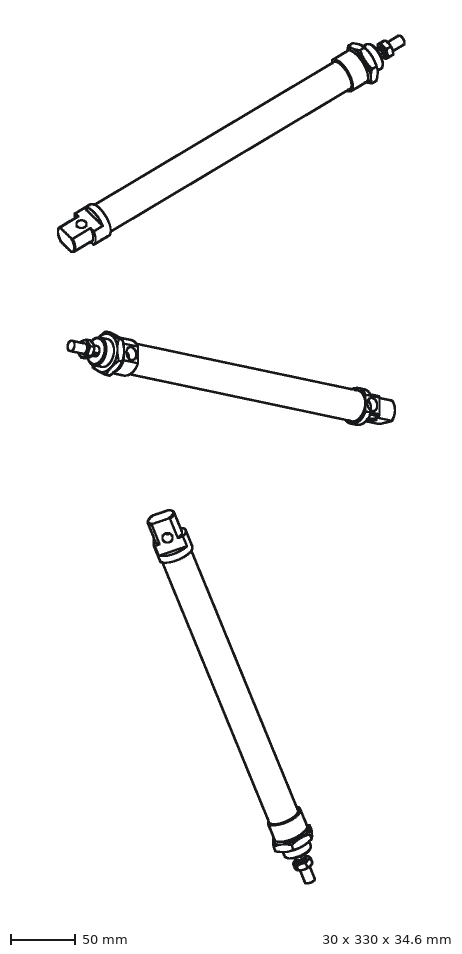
import cadquery as cq
import math

LENGTH = 330.0

ROD_DIAMETER = 8.2
ROD_UNDERCUT_DIAMETER = 6.0
ROD_THREAD_LENGTH = 18.5
ROD_SHOULDER_FROM_TIP = 20.5
ROD_FLAT_LENGTH = 4.0
ROD_ACROSS_FLATS = 6.5
ROD_FLAT_TILT = -17.0

ROD_NUT_ACROSS_FLATS = 13.0
ROD_NUT_THICKNESS = 5.3
ROD_NUT_TILT = -5.0
MOUNT_NUT_ACROSS_FLATS = 30.0
MOUNT_NUT_THICKNESS = 7.0
MOUNT_NUT_TILT = 30.0
NUT_CHAMFER_ANGLE = 30.0
NUT_SIDES = 6

NOSE_DIAMETER = 22.0
NOSE_CHAMFER = 1.0
NOSE_FROM_TIP = 26.0
NOSE_LENGTH = 17.8
MOUNT_NUT_FROM_NOSE = 9.0
COLLAR_DIAMETER = 28.5
COLLAR_LENGTH = 15.0

BARREL_DIAMETER = 24.5

CLEVIS_LENGTH = 18.0
CLEVIS_DIAMETER = 22.0
CLEVIS_THICKNESS = 16.2
CLEVIS_CHAMFER = 0.5
CLEVIS_FLAT_LENGTH = 27.0
PIVOT_HOLE_DIAMETER = 8.0
PIVOT_HOLE_Y = 15.2

PORT_FACE_OFFSET = 12.5
PORT_DIAMETER = 10.2
FRONT_PORT_FROM_TIP = 51.8
REAR_PORT_Y = 25.7
REAR_PORT_DEPTH = 7.3

nose_front = LENGTH - NOSE_FROM_TIP
front_collar_front = nose_front - NOSE_LENGTH
front_collar_rear = front_collar_front - COLLAR_LENGTH
rear_collar_front = CLEVIS_LENGTH + COLLAR_LENGTH
thread_rear = LENGTH - ROD_THREAD_LENGTH
rod_shoulder = LENGTH - ROD_SHOULDER_FROM_TIP
mount_nut_rear = nose_front - MOUNT_NUT_FROM_NOSE - MOUNT_NUT_THICKNESS
rod_rear = front_collar_rear
front_port_y = LENGTH - FRONT_PORT_FROM_TIP


def cylinder(diameter, y_rear, y_front):
    """Round bar on the cylinder axis."""
    plane = cq.Workplane("XZ", origin=(0, y_front, 0))
    return plane.circle(diameter / 2).extrude(y_front - y_rear)


def hex_nut(across_flats, thickness, bore, y_rear, tilt):
    """Hexagon nut with both rims turned to a cone that starts at the flats."""
    corner_diameter = across_flats / math.cos(math.pi / NUT_SIDES)
    flat_radius = across_flats / 2
    corner_radius = corner_diameter / 2
    rim = (corner_radius - flat_radius) * math.tan(math.radians(NUT_CHAMFER_ANGLE))
    y_front = y_rear + thickness
    envelope = (
        cq.Workplane("XY")
        .moveTo(0, y_rear)
        .lineTo(flat_radius, y_rear)
        .lineTo(corner_radius, y_rear + rim)
        .lineTo(corner_radius, y_front - rim)
        .lineTo(flat_radius, y_front)
        .lineTo(0, y_front)
        .close()
        .revolve(360, (0, 0, 0), (0, 1, 0))
    )
    hexagon = (
        cq.Workplane("XZ", origin=(0, y_front, 0))
        .transformed(rotate=(0, 0, tilt))
        .polygon(NUT_SIDES, corner_diameter)
        .extrude(thickness)
    )
    return hexagon.intersect(envelope).cut(cylinder(bore, y_rear, y_front))


def port_face(y_rear):
    """Material outside the flat port face of one collar."""
    plane = cq.Workplane("YZ", origin=(-PORT_FACE_OFFSET, y_rear + COLLAR_LENGTH / 2, 0))
    return plane.rect(COLLAR_LENGTH, COLLAR_DIAMETER).extrude(-COLLAR_DIAMETER)


def port_hole(y_center, depth):
    """Round port sunk from a flat port face."""
    plane = cq.Workplane("YZ", origin=(-PORT_FACE_OFFSET, y_center, 0))
    return plane.circle(PORT_DIAMETER / 2).extrude(depth)


def make_housing():
    """Barrel with the front cap and the clevis cap."""
    nose = cylinder(NOSE_DIAMETER, front_collar_front, nose_front).faces(">Y").chamfer(NOSE_CHAMFER)
    clevis = cylinder(CLEVIS_DIAMETER, 0, CLEVIS_LENGTH).faces("<Y").chamfer(CLEVIS_CHAMFER)
    housing = (
        cylinder(BARREL_DIAMETER, rear_collar_front, front_collar_rear)
        .union(nose)
        .union(cylinder(COLLAR_DIAMETER, front_collar_rear, front_collar_front))
        .union(cylinder(COLLAR_DIAMETER, CLEVIS_LENGTH, rear_collar_front))
        .union(clevis)
    )

    for side in (-1, 1):
        waste = cq.Workplane("XY").box(
            COLLAR_DIAMETER, CLEVIS_FLAT_LENGTH, COLLAR_DIAMETER, centered=(True, False, True)
        )
        waste_height = side * (CLEVIS_THICKNESS + COLLAR_DIAMETER) / 2
        housing = housing.cut(waste.translate((0, 0, waste_height)))

    pivot = cq.Workplane("XY").center(0, PIVOT_HOLE_Y).circle(PIVOT_HOLE_DIAMETER / 2)
    housing = housing.cut(pivot.extrude(CLEVIS_THICKNESS / 2, both=True))

    for y_rear in (front_collar_rear, CLEVIS_LENGTH):
        housing = housing.cut(port_face(y_rear))

    housing = housing.cut(port_hole(front_port_y, PORT_FACE_OFFSET))
    housing = housing.cut(port_hole(REAR_PORT_Y, REAR_PORT_DEPTH))

    return housing.cut(cylinder(ROD_DIAMETER, rod_rear, nose_front))


def make_rod():
    """Piston rod with an undercut behind the thread and a pair of wrench flats."""
    rod = (
        cylinder(ROD_DIAMETER, rod_rear, rod_shoulder)
        .union(cylinder(ROD_UNDERCUT_DIAMETER, rod_shoulder, thread_rear))
        .union(cylinder(ROD_DIAMETER, thread_rear, LENGTH))
    )
    flat_section = cylinder(ROD_DIAMETER, rod_shoulder - ROD_FLAT_LENGTH, rod_shoulder)
    between_flats = (
        cq.Workplane("XZ", origin=(0, rod_shoulder, 0))
        .transformed(rotate=(0, 0, ROD_FLAT_TILT))
        .rect(ROD_DIAMETER, ROD_ACROSS_FLATS)
        .extrude(ROD_FLAT_LENGTH)
    )
    return rod.cut(flat_section.cut(between_flats))


housing = make_housing()
rod = make_rod()
rod_nut = hex_nut(ROD_NUT_ACROSS_FLATS, ROD_NUT_THICKNESS, ROD_DIAMETER, thread_rear, ROD_NUT_TILT)
mount_nut = hex_nut(
    MOUNT_NUT_ACROSS_FLATS, MOUNT_NUT_THICKNESS, NOSE_DIAMETER, mount_nut_rear, MOUNT_NUT_TILT
)

result = cq.Compound.makeCompound([housing.val(), rod.val(), rod_nut.val(), mount_nut.val()])